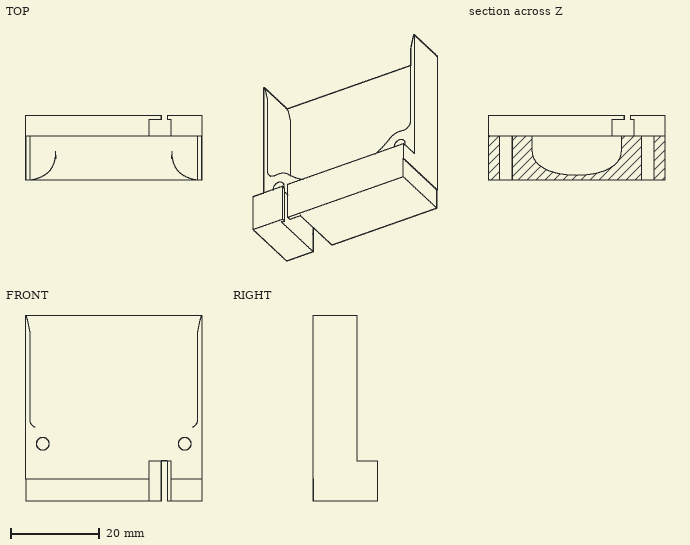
import cadquery as cq
import math

width = 40.0
height = 42.0
body_depth = 10.0
full_depth = 14.6
base_height = 5.0
base_inset = 0.13
base_setback = 0.05
ledge_height = 9.1

floor_thickness = 0.05
side_wall = 1.0
lower_taper_drop = 3.6
upper_taper_drop = 1.15
lip_thickness = 0.15
bevel_width = 0.05
bevel_height = 0.15
cusp_x = 13.15
cusp_z = 15.3
middle_scoop_z = 10.15
corner_radius = 1.9
floor_fillet = 6.43

hole_diameter = 2.8
hole_x = 16.05
hole_z = 12.98

slot_left = 8.0
slot_width = 4.95
slot_lip = 0.92
narrow_left = 10.8
narrow_width = 1.35

half_width = width / 2
inner_x = half_width - side_wall
pocket_depth = body_depth - floor_thickness


def block(x, y, z, dx, dy, dz):
    """Box given by its lowest corner and its sizes."""
    return cq.Workplane("XY").box(dx, dy, dz, centered=False).translate((x, y, z))


def extrude_back(outline, start_y, depth):
    """Extrude an XZ outline towards +Y from start_y."""
    return outline.extrude(-depth).translate((0, start_y, 0))


def make_body():
    base_depth = full_depth - base_setback
    base = block(-half_width + base_inset, base_setback, 0, width - base_inset, base_depth, base_height)
    ledge = block(-half_width, 0, base_height, width, full_depth, ledge_height - base_height)
    upper = block(-half_width, 0, base_height, width, body_depth, height - base_height)
    upper = upper.faces(">Z").edges("|Y").chamfer(bevel_height, bevel_width)
    return base.union(ledge).union(upper)


def make_pocket():
    boss_radius = math.hypot(cusp_x - hole_x, cusp_z - hole_z)
    cusp_angle = math.atan2(cusp_z - hole_z, cusp_x - hole_x)

    corner_x = inner_x - corner_radius
    centre_distance = boss_radius + corner_radius
    joint_angle = math.acos((corner_x - hole_x) / centre_distance)
    corner_z = hole_z + centre_distance * math.sin(joint_angle)
    joint_x = hole_x + boss_radius * math.cos(joint_angle)
    joint_z = hole_z + boss_radius * math.sin(joint_angle)
    boss_mid_angle = (cusp_angle + joint_angle) / 2
    boss_mid_x = hole_x + boss_radius * math.cos(boss_mid_angle)
    boss_mid_z = hole_z + boss_radius * math.sin(boss_mid_angle)
    corner_mid_angle = (joint_angle - math.pi) / 2
    corner_mid_x = corner_x + corner_radius * math.cos(corner_mid_angle)
    corner_mid_z = corner_z + corner_radius * math.sin(corner_mid_angle)

    lower_taper_z = height - lower_taper_drop
    upper_taper_z = height - upper_taper_drop
    taper_x = half_width - side_wall / 2
    top_x = half_width - lip_thickness
    outline = (
        cq.Workplane("XZ")
        .moveTo(-cusp_x, cusp_z)
        .threePointArc((0, middle_scoop_z), (cusp_x, cusp_z))
        .threePointArc((boss_mid_x, boss_mid_z), (joint_x, joint_z))
        .threePointArc((corner_mid_x, corner_mid_z), (inner_x, corner_z))
        .lineTo(inner_x, lower_taper_z)
        .lineTo(taper_x, upper_taper_z)
        .lineTo(top_x, height)
        .lineTo(-top_x, height)
        .lineTo(-taper_x, upper_taper_z)
        .lineTo(-inner_x, lower_taper_z)
        .lineTo(-inner_x, corner_z)
        .threePointArc((-corner_mid_x, corner_mid_z), (-joint_x, joint_z))
        .threePointArc((-boss_mid_x, boss_mid_z), (-cusp_x, cusp_z))
        .close()
    )
    return extrude_back(outline, floor_thickness, pocket_depth)


def make_floor_fillet():
    """Material left between the middle scoop, its two cusps and the floor."""
    rise = cusp_z - middle_scoop_z
    scoop_radius = (cusp_x**2 + rise**2) / (2 * rise)
    scoop_centre_z = middle_scoop_z + scoop_radius
    lean = math.asin(cusp_x / scoop_radius)
    fillet_top = floor_thickness + floor_fillet

    mid = floor_fillet * (1 - math.sqrt(0.5))
    ring = (
        cq.Workplane("XY")
        .moveTo(scoop_radius, floor_thickness)
        .lineTo(scoop_radius - floor_fillet, floor_thickness)
        .threePointArc((scoop_radius - mid, floor_thickness + mid), (scoop_radius, fillet_top))
        .close()
        .revolve(360, (0, 0, 0), (0, 1, 0))
        .translate((0, 0, scoop_centre_z))
    )
    reach = 2 * scoop_radius
    sector = extrude_back(
        cq.Workplane("XZ")
        .moveTo(0, scoop_centre_z)
        .lineTo(-reach * math.sin(lean), scoop_centre_z - reach * math.cos(lean))
        .lineTo(reach * math.sin(lean), scoop_centre_z - reach * math.cos(lean))
        .close(),
        0,
        body_depth,
    )
    fillet = ring.intersect(sector)

    horn = (
        cq.Workplane("XY")
        .moveTo(0, floor_thickness)
        .lineTo(floor_fillet, floor_thickness)
        .threePointArc((mid, floor_thickness + mid), (0, fillet_top))
        .close()
        .revolve(360, (0, 0, 0), (0, 1, 0))
    )
    for side in (-1, 1):
        outer_half = extrude_back(
            cq.Workplane("XZ")
            .moveTo(0, 0)
            .lineTo(-side * reach * math.sin(lean), reach * math.cos(lean))
            .lineTo(side * reach, reach * math.cos(lean))
            .lineTo(side * reach, 0)
            .close(),
            0,
            body_depth,
        )
        fillet = fillet.union(horn.intersect(outer_half).translate((side * cusp_x, 0, cusp_z)))
    return fillet


def make_holes():
    centres = [(-hole_x, hole_z), (hole_x, hole_z)]
    outline = cq.Workplane("XZ").pushPoints(centres).circle(hole_diameter / 2)
    return extrude_back(outline, 0, full_depth)


def make_slot():
    wide = block(slot_left, 0, 0, slot_width, full_depth - slot_lip, ledge_height)
    narrow = block(narrow_left, 0, 0, narrow_width, full_depth, ledge_height)
    return wide.union(narrow)


pocket = make_pocket()
pocket_space = pocket.cut(make_floor_fillet())
result = make_body().cut(pocket_space).cut(make_holes()).cut(make_slot())